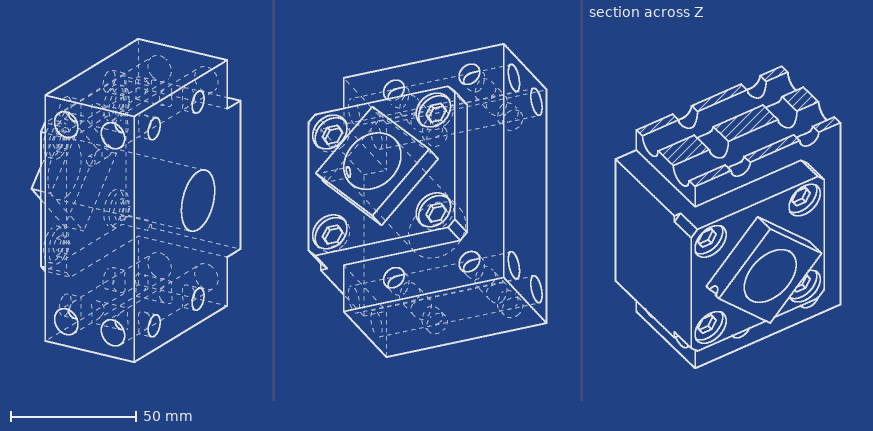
import cadquery as cq
import math


HOUSING_LENGTH = 42.0
HOUSING_WIDTH = 106.0
BASE_Y = -48.0
SHOULDER_Y = 22.0

FLANGE_SIZE = 64.0
FLANGE_LENGTH = 12.0
FLANGE_CHAMFER = 3.0

NUT_ACROSS_FLATS = 35.0
NUT_LENGTH = 9.0
NUT_ANGLE = 45
SET_SCREW_HOLE_DIAMETER = 4.13

SHAFT_BORE_DIAMETER = 25.0

SCREW_PITCH_CIRCLE = 64.0
SCREW_OFFSET = SCREW_PITCH_CIRCLE / 2 * math.sin(math.radians(45))
SCREW_RECESS_DIAMETER = 15.0
SCREW_RECESS_DEPTH = 2.5
SOCKET_ACROSS_FLATS = 7.5
SOCKET_DEPTH = 2.5

MOUNTING_PITCH_Z = 85.0
MOUNTING_ZS = (-MOUNTING_PITCH_Z / 2, MOUNTING_PITCH_Z / 2)
AXIAL_HOLE_DIAMETER = 9.0
AXIAL_HOLE_YS = (0.0, -33.0)
VERTICAL_HOLE_DIAMETER = 11.0
VERTICAL_HOLE_XS = (10.0, 32.0)

FLANGE_FACE_X = -FLANGE_LENGTH
NUT_FACE_X = FLANGE_FACE_X - NUT_LENGTH
SCREW_SEAT_X = FLANGE_FACE_X + SCREW_RECESS_DEPTH


def axial_sketch(x):
    """Workplane at a given X, with (Y, Z) coordinates, that extrudes toward +X."""
    return cq.Workplane("YZ", origin=(x, 0, 0))


def make_housing():
    block_height = SHOULDER_Y - BASE_Y
    block_center_y = (SHOULDER_Y + BASE_Y) / 2
    block = axial_sketch(0).center(block_center_y, 0).rect(block_height, HOUSING_WIDTH)
    block = block.extrude(HOUSING_LENGTH)
    pad = axial_sketch(0).rect(FLANGE_SIZE, FLANGE_SIZE).extrude(HOUSING_LENGTH)
    return block.union(pad)


def make_flange():
    flange = axial_sketch(FLANGE_FACE_X).rect(FLANGE_SIZE, FLANGE_SIZE).extrude(FLANGE_LENGTH)
    return flange.edges("|X").chamfer(FLANGE_CHAMFER)


def make_nut():
    nut = axial_sketch(NUT_FACE_X).rect(NUT_ACROSS_FLATS, NUT_ACROSS_FLATS).extrude(NUT_LENGTH)
    return nut.rotate((0, 0, 0), (1, 0, 0), NUT_ANGLE)


def make_shaft_bore():
    bore_length = HOUSING_LENGTH - NUT_FACE_X
    return axial_sketch(NUT_FACE_X).circle(SHAFT_BORE_DIAMETER / 2).extrude(bore_length)


def make_set_screw_hole():
    """Radial hole from the shaft axis out through the +Y corner of the nut."""
    nut_middle_x = NUT_FACE_X + NUT_LENGTH / 2
    hole = cq.Workplane("XZ", origin=(nut_middle_x, 0, 0)).circle(SET_SCREW_HOLE_DIAMETER / 2)
    return hole.extrude(-NUT_ACROSS_FLATS)


def make_screw_recesses():
    """Round recess above each screw head, with the hexagon socket sunk into the head."""
    socket_across_corners = SOCKET_ACROSS_FLATS / math.cos(math.radians(30))
    centers = [(y, z) for y in (-SCREW_OFFSET, SCREW_OFFSET) for z in (-SCREW_OFFSET, SCREW_OFFSET)]
    recesses = axial_sketch(FLANGE_FACE_X).pushPoints(centers)
    recesses = recesses.circle(SCREW_RECESS_DIAMETER / 2).extrude(SCREW_RECESS_DEPTH)
    sockets = axial_sketch(SCREW_SEAT_X).pushPoints(centers)
    sockets = sockets.polygon(6, socket_across_corners).extrude(SOCKET_DEPTH)
    return recesses.union(sockets)


def make_axial_mounting_holes():
    centers = [(y, z) for y in AXIAL_HOLE_YS for z in MOUNTING_ZS]
    return axial_sketch(0).pushPoints(centers).circle(AXIAL_HOLE_DIAMETER / 2).extrude(HOUSING_LENGTH)


def make_vertical_mounting_holes():
    centers = [(x, z) for x in VERTICAL_HOLE_XS for z in MOUNTING_ZS]
    base = cq.Workplane("XZ", origin=(0, BASE_Y, 0)).pushPoints(centers)
    return base.circle(VERTICAL_HOLE_DIAMETER / 2).extrude(BASE_Y - SHOULDER_Y)


result = make_housing().union(make_flange()).union(make_nut())
result = result.cut(make_shaft_bore())
result = result.cut(make_set_screw_hole())
result = result.cut(make_screw_recesses())
result = result.cut(make_axial_mounting_holes())
result = result.cut(make_vertical_mounting_holes())